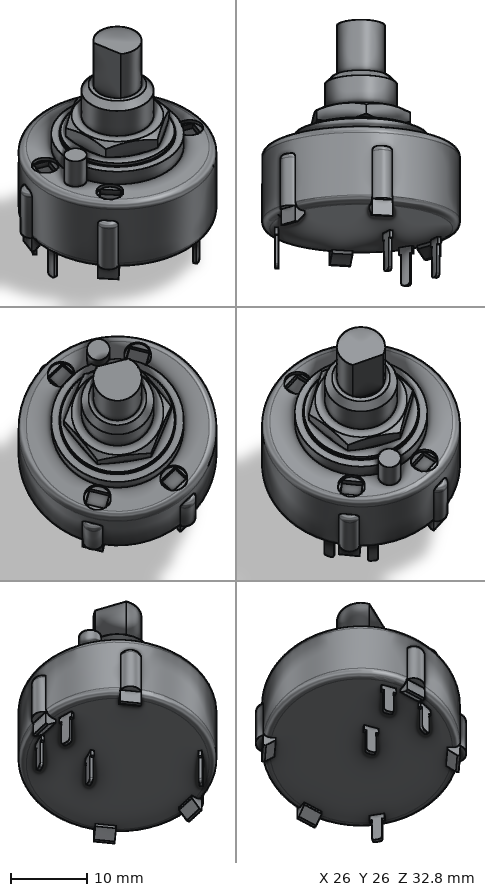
import cadquery as cq
import math

total_height = 32.8
housing_bottom = 5.28
housing_top = 15.8
boss_top = 17.85
nut_bottom = 18.37
nut_top = 20.8
bushing_top = 25.75

housing_diameter = 26.0
housing_rim_fillet = 1.0
boss_diameter = 17.4
seat_diameter = 15.3
seat_top = 17.95

bushing_diameter = 9.5
bushing_chamfer = 0.95
shaft_diameter = 6.33
shaft_flat_offset = 2.3
shaft_flat_bottom = 24.75

peg_diameter = 3.0
peg_radius = 9.5
peg_top = 19.88

snap_angles = [60, 120, 240, 300]
post_diameter = 2.95
post_radius = 12.35
post_bottom = 5.75
post_top = 13.0
post_fillet = 0.7
hook_width = 2.75
hook_outer_radius = 12.95
hook_foot_radius = 12.55
hook_tip_radius = 11.28
hook_bottom = 3.6
hook_tip_bottom = 4.8
window_radius = 10.4
window_recess_diameter = 3.55
window_recess_depth = 0.5
window_width = 2.75
window_length = 2.2
window_depth = 0.8

common_radius = 3.97
contact_radius = 11.05
terminal_places = [(15, contact_radius), (225, contact_radius), (255, contact_radius), (225, common_radius)]
terminal_thickness = 0.45
terminal_width = 1.35
terminal_tip_fillet = 0.45
terminal_shoulder_width = 2.0
terminal_shoulder_bottom = 4.3

washer_diameter = 15.0
nut_sides = 6
nut_flats = 12.33
nut_angle = -7.0
nut_chamfer_diameter = 12.07
nut_chamfer_angle = 28.0


def cylinder(diameter, bottom, top):
    return cq.Workplane("XY").workplane(offset=bottom).circle(diameter / 2).extrude(top - bottom)


def place(shape, angle, radius=0):
    """Move a shape outward along +X, then turn it about the Z axis."""
    return shape.translate((radius, 0, 0)).rotate((0, 0, 0), (0, 0, 1), angle)


def make_drum():
    drum = cylinder(housing_diameter, housing_bottom, housing_top)
    drum = drum.faces("<Z or >Z").edges().fillet(housing_rim_fillet)
    boss = cylinder(boss_diameter, housing_top, boss_top)
    seat = cylinder(seat_diameter, boss_top, seat_top)
    peg = cylinder(peg_diameter, housing_top, peg_top).translate((0, -peg_radius, 0))
    return drum.union(boss).union(seat).union(peg)


def make_shaft_and_bushing():
    """The flat runs on below the bushing top, which leaves a notch between shaft and bushing."""
    bushing = cylinder(bushing_diameter, housing_top, bushing_top).faces(">Z").chamfer(bushing_chamfer)
    shaft = cylinder(shaft_diameter, shaft_flat_bottom, total_height)
    flat_cutter = (
        cq.Workplane("XY")
        .workplane(offset=shaft_flat_bottom)
        .rect(shaft_diameter, shaft_diameter)
        .extrude(total_height - shaft_flat_bottom)
        .translate((0, -shaft_flat_offset - shaft_diameter / 2, 0))
    )
    return bushing.union(shaft).cut(shaft.intersect(flat_cutter))


def make_snap_post():
    return cylinder(post_diameter, post_bottom, post_top).faces(">Z").edges().fillet(post_fillet)


def make_snap_hook():
    """Hook profile in the XZ plane: a leg with a ramp that points at the axis."""
    return (
        cq.Workplane("XZ")
        .moveTo(hook_outer_radius, hook_bottom)
        .lineTo(hook_outer_radius, post_bottom)
        .lineTo(hook_tip_radius, post_bottom)
        .lineTo(hook_tip_radius, hook_tip_bottom)
        .lineTo(hook_foot_radius, hook_bottom)
        .close()
        .extrude(hook_width / 2, both=True)
    )


def make_window():
    """Cutter for a round recess with a rectangular pocket in its floor."""
    recess_floor = housing_top - window_recess_depth
    recess = cylinder(window_recess_diameter, recess_floor, housing_top)
    slot = (
        cq.Workplane("XY")
        .workplane(offset=recess_floor)
        .rect(window_length, window_width)
        .extrude(-window_depth)
    )
    return recess.union(slot)


def make_terminal():
    """Flat blade with a wider shoulder, its flat side facing the axis."""
    blade = (
        cq.Workplane("XY")
        .rect(terminal_thickness, terminal_width)
        .extrude(housing_bottom)
        .faces("<Z")
        .edges("|X")
        .fillet(terminal_tip_fillet)
    )
    shoulder = (
        cq.Workplane("XY")
        .workplane(offset=terminal_shoulder_bottom)
        .rect(terminal_thickness, terminal_shoulder_width)
        .extrude(housing_bottom - terminal_shoulder_bottom)
    )
    return blade.union(shoulder)


def make_housing():
    housing = make_drum().union(make_shaft_and_bushing())
    for angle in snap_angles:
        housing = housing.union(place(make_snap_post(), angle, post_radius))
        housing = housing.union(place(make_snap_hook(), angle))
        housing = housing.cut(place(make_window(), angle, window_radius))
    for angle, radius in terminal_places:
        housing = housing.union(place(make_terminal(), angle, radius))
    return housing


def make_nut():
    """Hexagon nut, chamfered at both ends, on a washer that rests on the seat."""
    corner_radius = nut_flats / 2 / math.cos(math.pi / nut_sides)
    corner_drop = (corner_radius - nut_chamfer_diameter / 2) * math.tan(math.radians(nut_chamfer_angle))
    hexagon = (
        cq.Workplane("XY")
        .workplane(offset=nut_bottom)
        .polygon(nut_sides, 2 * corner_radius)
        .extrude(nut_top - nut_bottom)
        .rotate((0, 0, 0), (0, 0, 1), nut_angle)
    )
    chamfer_envelope = (
        cq.Workplane("XZ")
        .moveTo(0, nut_bottom)
        .lineTo(nut_chamfer_diameter / 2, nut_bottom)
        .lineTo(corner_radius, nut_bottom + corner_drop)
        .lineTo(corner_radius, nut_top - corner_drop)
        .lineTo(nut_chamfer_diameter / 2, nut_top)
        .lineTo(0, nut_top)
        .close()
        .revolve(360, (0, 0, 0), (0, 1, 0))
    )
    washer = cylinder(washer_diameter, seat_top, nut_bottom)
    bore = cylinder(bushing_diameter, housing_top, nut_top)
    return hexagon.intersect(chamfer_envelope).union(washer).cut(bore)


housing = make_housing()
nut = make_nut()

result = cq.Compound.makeCompound([*housing.solids().vals(), *nut.solids().vals()])